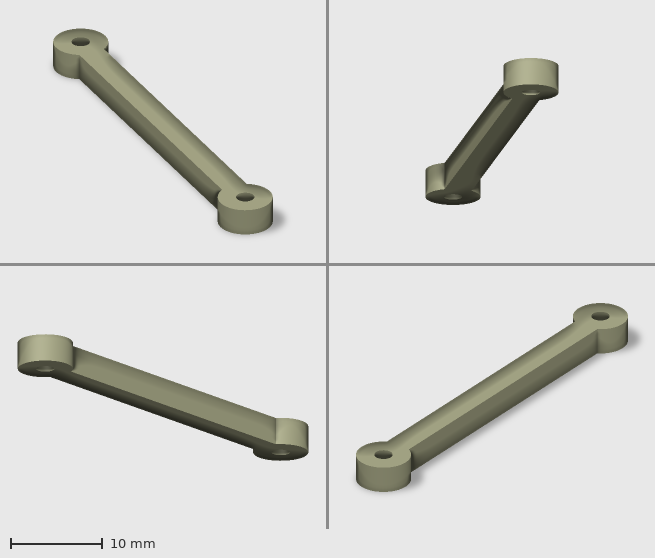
import cadquery as cq

overall_length = 45.55
thickness = 3.0
eye_diameter = 6.0
hole_diameter = 2.0
bar_width = 3.0

hole_spacing = overall_length - eye_diameter
eye_centers = [(-hole_spacing / 2, 0), (hole_spacing / 2, 0)]


def make_bar():
    """Straight bar running from one eye centre to the other."""
    return cq.Workplane("XY").rect(hole_spacing, bar_width).extrude(thickness)


def make_eyes():
    """Round eye at each end of the bar."""
    return cq.Workplane("XY").pushPoints(eye_centers).circle(eye_diameter / 2).extrude(thickness)


def make_holes():
    """Through-hole cutters, one on the axis of each eye."""
    return cq.Workplane("XY").pushPoints(eye_centers).circle(hole_diameter / 2).extrude(thickness)


result = make_bar().union(make_eyes()).cut(make_holes())